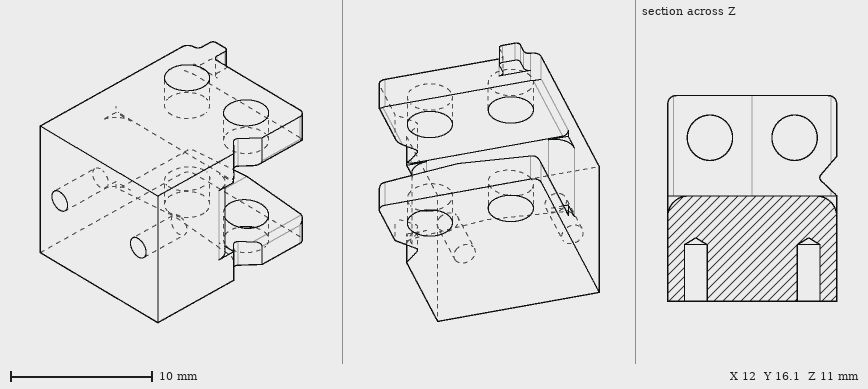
import cadquery as cq

WIDTH = 12.0
LENGTH = 16.1
HEIGHT = 11.0
MID_X = WIDTH / 2
MID_Z = HEIGHT / 2

TAB_REACH = 1.5
TAB_LEFT = 1.0
TAB_WIDTH = 1.55
TAB_THICKNESS = 1.5
TAB_TIP_RADIUS = 0.3
TAB_ROOT_RADIUS = 0.4
JAW_END = LENGTH - TAB_REACH
JAW_CORNER_RADIUS = 0.6

SLOT_BACK = 7.49
CEILING_Z = 8.6
FLOOR_SIDE_Z = 2.0
FLOOR_RIDGE_Z = 2.5
JAW_EDGE_RADIUS = 0.42

WEB_CORNER_RADIUS = 1.47
WEB_CORNER_TOP = 8.5

NOTCH_REAR = 10.29
NOTCH_FRONT = 7.5
NOTCH_APEX_Y = 8.76
NOTCH_DEPTH = 1.32
NOTCH_RADIUS = 0.32

PIN_DIAMETER = 3.2
PIN_SPACING = 6.0
PIN_FROM_END = 3.0

DRILL_DIAMETER = 1.6
DRILL_SPACING = 8.0
DRILL_DEPTH = 4.02
DRILL_TIP_DEPTH = 0.48


def block_with_tab():
    block = cq.Workplane("XY").box(WIDTH, JAW_END, HEIGHT, centered=False)
    block = block.edges("|Z and >Y").fillet(JAW_CORNER_RADIUS)
    overlap = JAW_CORNER_RADIUS
    tab = (
        cq.Workplane("XY")
        .box(TAB_WIDTH, TAB_REACH + overlap, TAB_THICKNESS, centered=False)
        .translate((TAB_LEFT, JAW_END - overlap, HEIGHT - TAB_THICKNESS))
        .edges("|Z and >Y")
        .fillet(TAB_TIP_RADIUS)
    )
    return block.union(tab)


def tab_root(side_x, direction):
    """Concave fillet between the jaw end and one side of the tab."""
    r = TAB_ROOT_RADIUS
    return (
        cq.Workplane("XY", origin=(0, 0, HEIGHT - TAB_THICKNESS))
        .moveTo(side_x, JAW_END)
        .lineTo(side_x, JAW_END + r)
        .radiusArc((side_x + direction * r, JAW_END), direction * -r)
        .close()
        .extrude(TAB_THICKNESS)
    )


def slot():
    """Slot with a flat ceiling, a ridged floor and rounded long edges."""
    r = JAW_EDGE_RADIUS
    return (
        cq.Workplane("XZ", origin=(0, JAW_END, 0))
        .moveTo(0, FLOOR_SIDE_Z - r)
        .radiusArc((r, FLOOR_SIDE_Z), r)
        .lineTo(MID_X, FLOOR_RIDGE_Z)
        .lineTo(WIDTH - r, FLOOR_SIDE_Z)
        .radiusArc((WIDTH, FLOOR_SIDE_Z - r), r)
        .lineTo(WIDTH, CEILING_Z + r)
        .radiusArc((WIDTH - r, CEILING_Z), r)
        .lineTo(r, CEILING_Z)
        .radiusArc((0, CEILING_Z + r), r)
        .close()
        .extrude(JAW_END - SLOT_BACK)
    )


def web_corner(side_x, direction):
    """Material removed to round one vertical corner of the web."""
    r = WEB_CORNER_RADIUS
    return (
        cq.Workplane("XY", origin=(0, 0, FLOOR_RIDGE_Z))
        .moveTo(side_x, SLOT_BACK)
        .lineTo(side_x, SLOT_BACK - r)
        .radiusArc((side_x + direction * r, SLOT_BACK), direction * r)
        .close()
        .extrude(WEB_CORNER_TOP - FLOOR_RIDGE_Z)
    )


def notch():
    return (
        cq.Workplane("XY")
        .moveTo(WIDTH, NOTCH_FRONT)
        .lineTo(WIDTH, NOTCH_REAR)
        .lineTo(WIDTH - NOTCH_DEPTH, NOTCH_APEX_Y)
        .close()
        .extrude(HEIGHT)
        .edges("|Z and <X")
        .fillet(NOTCH_RADIUS)
    )


def pin_hole(x):
    return (
        cq.Workplane("XY")
        .center(x, JAW_END - PIN_FROM_END)
        .circle(PIN_DIAMETER / 2)
        .extrude(HEIGHT)
    )


def drilled_hole(x):
    """Blind hole along +Y with a conical bottom."""
    return (
        cq.Workplane("XY", origin=(x, 0, MID_Z))
        .lineTo(DRILL_DIAMETER / 2, 0)
        .lineTo(DRILL_DIAMETER / 2, DRILL_DEPTH)
        .lineTo(0, DRILL_DEPTH + DRILL_TIP_DEPTH)
        .close()
        .revolve(360, (0, 0), (0, 1))
    )


result = block_with_tab()
for side_x, direction in ((TAB_LEFT, -1), (TAB_LEFT + TAB_WIDTH, 1)):
    result = result.union(tab_root(side_x, direction))

result = result.cut(slot()).cut(notch())
for side_x, direction in ((0, 1), (WIDTH, -1)):
    result = result.cut(web_corner(side_x, direction))
for side in (-1, 1):
    result = result.cut(pin_hole(MID_X + side * PIN_SPACING / 2))
    result = result.cut(drilled_hole(MID_X + side * DRILL_SPACING / 2))